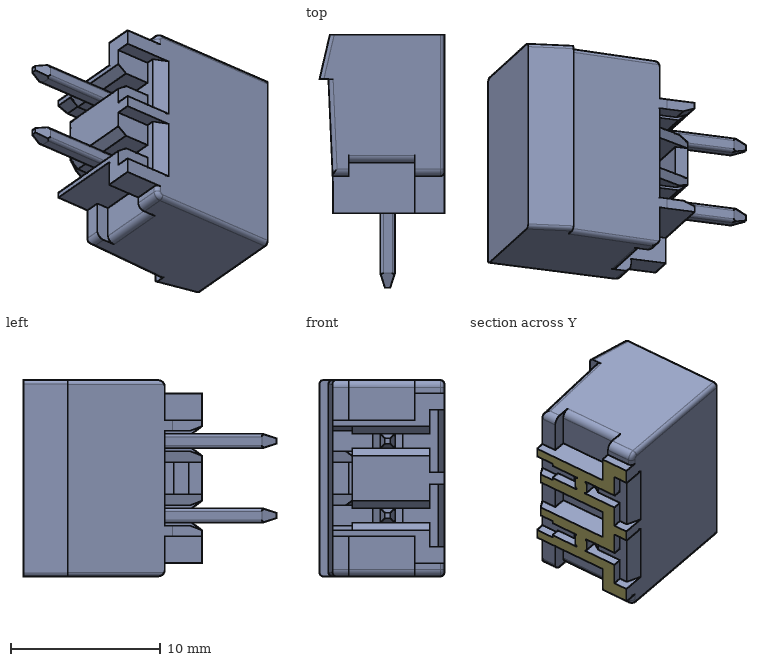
import cadquery as cq


WIDTH = 8.4
HEIGHT = 13.2
DEPTH = 9.5
RAMP_LENGTH = 3.0
RAMP_BACK_X = -7.7
TAPER_BACK_X = -7.8
TAPER_FRONT_X = -7.5
TAPER_END_Y = -0.5
SIDE_FILLET = 0.3
RAMP_FILLET = 0.27
FRONT_FILLET = 0.5
TOP_Z = HEIGHT / 2
RAMP_FRONT_Y = DEPTH - RAMP_LENGTH

FRONT_Y = -2.5
POST_START_X = -2.0
POST_TOP_Z = 5.7
SHELF_TOP_Z = 3.9
WALL_START_X = -6.2
WALL_END_X = -1.0
WALL_CHAMFER = 0.5
WALL_CHAMFER_LENGTH = 0.66
THIN_SETBACK = 0.19
THIN_CHAMFER_LENGTH = 0.8

POCKET_START_X = -6.43
POCKET_DEPTH = 0.9

HOLLOW_HALF_HEIGHT = 1.07
HOLLOW_FRONT_Y = -1.6
HOLLOW_STEP_X = -3.0
HOLLOW_STEP_Y = -0.6

PIN_X = -3.82
PIN_Z = 2.5
PIN_SIZE = 1.0
PIN_FILLET = 0.2
PIN_END_Y = -7.5
TIP_LENGTH = 1.0
TIP_SIZE = 0.35
SEAT_WIDTH = 2.0
SEAT_DEPTH = 0.3
SLOT_LOW_Z = PIN_Z - PIN_SIZE / 2
SLOT_HIGH_Z = PIN_Z + PIN_SIZE / 2

NOTCH_TOP_Z = 4.6
NOTCH_BOTTOM_Z = 0.4
BEVEL_WIDTH = 0.42
BEVEL_DEPTH = 1.0


def block(x_range, y_range, z_range):
    """Box spanning the given (low, high) ranges."""
    sizes = [high - low for low, high in (x_range, y_range, z_range)]
    corner = (x_range[0], y_range[0], z_range[0])
    return cq.Workplane("XY").box(*sizes, centered=False).translate(corner)


def z_prism(points, low, high):
    """Outline in x and y, extruded from z = low to z = high."""
    return cq.Workplane("XY").workplane(offset=low).polyline(points).close().extrude(high - low)


def x_prism(points, low, high):
    """Outline in y and z, extruded from x = low to x = high."""
    return cq.Workplane("YZ").workplane(offset=low).polyline(points).close().extrude(high - low)


def both_ends(shape):
    """The shape joined with its mirror image about z = 0."""
    return shape.union(shape.mirror("XY"))


def taper_x(y):
    """x of the tapered side at a given y."""
    share = (RAMP_FRONT_Y - y) / (RAMP_FRONT_Y - TAPER_END_Y)
    return TAPER_BACK_X + share * (TAPER_FRONT_X - TAPER_BACK_X)


def nearest_edge(*point):
    """Selector for the edge whose middle is nearest to the point."""
    return cq.selectors.NearestToPointSelector(point)


def make_housing():
    outline = [
        (0, TAPER_END_Y),
        (0, DEPTH),
        (RAMP_BACK_X, DEPTH),
        (-WIDTH, RAMP_FRONT_Y),
        (TAPER_BACK_X, RAMP_FRONT_Y),
        (TAPER_FRONT_X, TAPER_END_Y),
    ]
    body = z_prism(outline, -TOP_Z, TOP_Z)
    ramp_middle = ((RAMP_BACK_X - WIDTH) / 2, DEPTH - RAMP_LENGTH / 2)
    taper_middle = (taper_x(RAMP_FRONT_Y / 2), RAMP_FRONT_Y / 2)
    for z in (-TOP_Z, TOP_Z):
        body = body.edges(nearest_edge(*ramp_middle, z)).fillet(RAMP_FILLET)
        body = body.edges(nearest_edge(*taper_middle, z)).fillet(SIDE_FILLET)
    envelope = block((-WIDTH, 0), (0, DEPTH), (-TOP_Z, TOP_Z))
    envelope = envelope.edges("|X and <Y").fillet(FRONT_FILLET)
    body = body.intersect(envelope)
    return body.edges(nearest_edge(0, DEPTH / 2, TOP_Z)).fillet(SIDE_FILLET)


def make_pocket():
    """Pocket behind the shelf, with its upper edge rounded outwards."""
    arc_start_y = POCKET_DEPTH + FRONT_FILLET
    arc_z = TOP_Z - FRONT_FILLET
    diagonal = FRONT_FILLET * (1 - 0.5**0.5)
    return (
        cq.Workplane("YZ")
        .workplane(offset=POCKET_START_X)
        .moveTo(0, SHELF_TOP_Z)
        .lineTo(POCKET_DEPTH, SHELF_TOP_Z)
        .lineTo(POCKET_DEPTH, arc_z)
        .threePointArc((POCKET_DEPTH + diagonal, TOP_Z - diagonal), (arc_start_y, TOP_Z))
        .lineTo(0, TOP_Z)
        .close()
        .extrude(POST_START_X - POCKET_START_X)
    )


def make_wall(x_range, face_z, far_z, chamfer, chamfer_length):
    """Wall from face_z (chamfered at the front, beside a pin) to far_z."""
    inward = chamfer if far_z > face_z else -chamfer
    profile = [
        (0, far_z),
        (0, face_z),
        (FRONT_Y + chamfer_length, face_z),
        (FRONT_Y, face_z + inward),
        (FRONT_Y, far_z),
    ]
    return x_prism(profile, *x_range)


def make_shelf():
    """Wall on the outer side of a pin, with the post at its end."""
    thick = make_wall(
        (WALL_START_X, WALL_END_X), SLOT_HIGH_Z, SHELF_TOP_Z, WALL_CHAMFER, WALL_CHAMFER_LENGTH
    )
    thin = make_wall(
        (-WIDTH, WALL_START_X),
        SLOT_HIGH_Z + THIN_SETBACK,
        SHELF_TOP_Z,
        WALL_CHAMFER - THIN_SETBACK,
        THIN_CHAMFER_LENGTH,
    )
    thin_outline = [
        (WALL_START_X, 0),
        (taper_x(0), 0),
        (TAPER_FRONT_X, TAPER_END_Y),
        (TAPER_FRONT_X, FRONT_Y),
        (WALL_START_X, FRONT_Y),
    ]
    thin = thin.intersect(z_prism(thin_outline, 0, TOP_Z))
    post = block((POST_START_X, WALL_END_X), (FRONT_Y, 0), (SHELF_TOP_Z, POST_TOP_Z))
    foot = block((WALL_END_X, 0), (FRONT_Y, SIDE_FILLET), (NOTCH_TOP_Z, POST_TOP_Z))
    return thick.union(thin).union(post).union(foot)


def make_middle_wall():
    """Wall between the pins, with a sloping rib above and below its open side."""
    half_wall = make_wall(
        (WALL_START_X, WALL_END_X), SLOT_LOW_Z, 0, WALL_CHAMFER, WALL_CHAMFER_LENGTH
    )
    rib = make_wall(
        (-WIDTH, WALL_START_X),
        SLOT_LOW_Z - THIN_SETBACK,
        HOLLOW_HALF_HEIGHT,
        WALL_CHAMFER - THIN_SETBACK,
        THIN_CHAMFER_LENGTH,
    )
    rib_outline = [(WALL_START_X, 0), (taper_x(0), 0), (WALL_START_X, FRONT_Y)]
    rib = rib.intersect(z_prism(rib_outline, 0, TOP_Z))
    foot = block((WALL_END_X, 0), (FRONT_Y, SIDE_FILLET), (0, NOTCH_BOTTOM_Z))
    return both_ends(half_wall.union(rib).union(foot))


def make_hollow():
    z_range = (-HOLLOW_HALF_HEIGHT, HOLLOW_HALF_HEIGHT)
    back = block((POCKET_START_X, POST_START_X), (HOLLOW_STEP_Y, POCKET_DEPTH), z_range)
    front = block((POCKET_START_X, HOLLOW_STEP_X), (HOLLOW_FRONT_Y, HOLLOW_STEP_Y), z_range)
    return back.union(front)


def make_pin():
    half_pin = PIN_SIZE / 2
    half_tip = TIP_SIZE / 2
    shoulder_y = PIN_END_Y + TIP_LENGTH

    def taper_profile(flip):
        side = [(half_pin, POCKET_DEPTH), (half_pin, shoulder_y), (half_tip, PIN_END_Y)]
        points = side + [(-across, y) for across, y in reversed(side)]
        return [(y, across) for across, y in points] if flip else points

    bar = block((-half_pin, half_pin), (PIN_END_Y, POCKET_DEPTH), (-half_pin, half_pin))
    bar = bar.edges("|Y").fillet(PIN_FILLET)
    bar = bar.intersect(z_prism(taper_profile(False), -half_pin, half_pin))
    bar = bar.intersect(x_prism(taper_profile(True), -half_pin, half_pin))
    return bar.translate((PIN_X, 0, PIN_Z))


def make_seat():
    """Recess around a pin that narrows to the width of the pin."""
    half_seat = SEAT_WIDTH / 2
    half_pin = PIN_SIZE / 2
    outline = [
        (PIN_X - half_seat, 0),
        (PIN_X - half_pin, SEAT_DEPTH),
        (PIN_X + half_pin, SEAT_DEPTH),
        (PIN_X + half_seat, 0),
    ]
    return z_prism(outline, SLOT_LOW_Z, SLOT_HIGH_Z)


def make_bevel():
    """Sloping cut along the flat side, at the bottom of a notch."""
    outline = [(0, 0), (-BEVEL_WIDTH, 0), (0, BEVEL_DEPTH)]
    return z_prism(outline, NOTCH_BOTTOM_Z, NOTCH_TOP_Z)


result = (
    make_housing()
    .cut(both_ends(make_pocket()))
    .cut(both_ends(make_seat()))
    .cut(both_ends(make_bevel()))
    .union(both_ends(make_shelf()))
    .union(make_middle_wall())
    .cut(make_hollow())
    .union(both_ends(make_pin()))
)